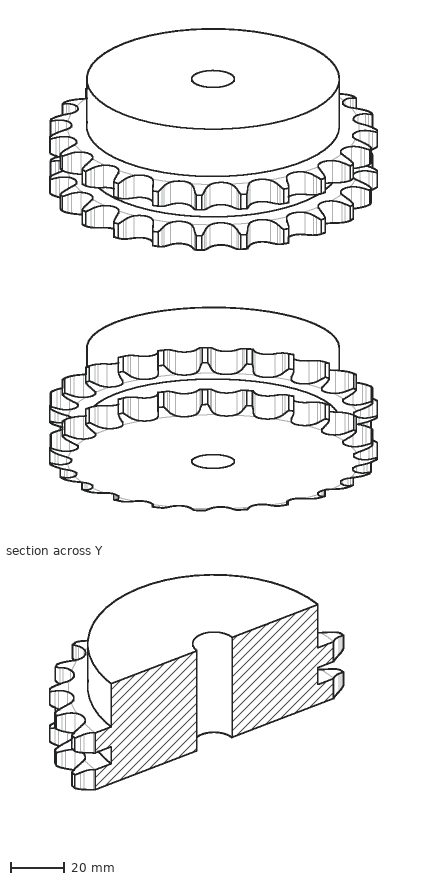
import cadquery as cq
import math


hub_diameter = 95.0
bore_diameter = 16.0
total_height = 45.0

tooth_count = 23
ring_width = 9.1
ring_spacing = 16.5
ring_bottoms = [0.0, ring_spacing]
outer_diameter = 123.5
outer_radius = outer_diameter / 2
side_relief = 1.6

pitch_diameter = 116.5
roller_diameter = 10.1
roller_clearance = 0.04

half_pitch_angle = 180 / tooth_count
pitch_radius = pitch_diameter / 2
chain_pitch = pitch_diameter * math.sin(math.radians(half_pitch_angle))

seat_radius = 0.5025 * roller_diameter + roller_clearance
seat_angle = 35 + 60 / tooth_count
working_angle = 18 - 56 / tooth_count
working_center_distance = 0.8 * roller_diameter
working_radius = working_center_distance + seat_radius
topping_center_distance = 1.4 * roller_diameter


def offset(point, distance, degrees):
    """Point at a distance from another, in a direction measured from +X."""
    angle = math.radians(degrees)
    return (point[0] + distance * math.cos(angle), point[1] + distance * math.sin(angle))


def mirrored(point):
    return (-point[0], point[1])


def flank_points():
    """Points of the left flank of the gap centred on +Y, from the seat to the tip."""
    roller_center = (0.0, pitch_radius)
    seat_end = offset(roller_center, seat_radius, 180 + seat_angle)

    working_center = offset(roller_center, working_center_distance, seat_angle)
    line_normal = seat_angle - working_angle
    working_middle = offset(working_center, working_radius, 180 + seat_angle - working_angle / 2)
    working_end = offset(working_center, working_radius, 180 + line_normal)

    topping_center = offset(roller_center, topping_center_distance, 180 + half_pitch_angle)
    normal = math.radians(line_normal)
    topping_radius = (
        (working_end[0] - topping_center[0]) * math.cos(normal)
        + (working_end[1] - topping_center[1]) * math.sin(normal)
    )
    topping_start = offset(topping_center, topping_radius, line_normal)

    center_distance = math.hypot(*topping_center)
    center_direction = math.degrees(math.atan2(topping_center[1], topping_center[0]))
    cosine = (outer_radius**2 - center_distance**2 - topping_radius**2) / (
        2 * center_distance * topping_radius
    )
    tip_direction = center_direction - math.degrees(math.acos(cosine))
    topping_middle = offset(topping_center, topping_radius, (line_normal + tip_direction) / 2)
    tip = offset(topping_center, topping_radius, tip_direction)
    return seat_end, working_middle, working_end, topping_start, topping_middle, tip


def tooth_gap():
    """Cutter for one gap between two teeth."""
    seat_end, working_middle, working_end, topping_start, topping_middle, tip = flank_points()
    seat_bottom = (0.0, pitch_radius - seat_radius)
    beyond_tips = (0.0, outer_radius + roller_diameter)
    return (
        cq.Workplane("XY")
        .moveTo(*tip)
        .threePointArc(topping_middle, topping_start)
        .lineTo(*working_end)
        .threePointArc(working_middle, seat_end)
        .threePointArc(seat_bottom, mirrored(seat_end))
        .threePointArc(mirrored(working_middle), mirrored(working_end))
        .lineTo(*mirrored(topping_start))
        .threePointArc(mirrored(topping_middle), mirrored(tip))
        .threePointArc(beyond_tips, tip)
        .close()
        .extrude(ring_width)
    )


def ring_blank():
    """Disc whose two sides curve inward towards the tooth tips, tangent to its flat faces."""
    side_radius = chain_pitch
    relief_angle = math.acos(1 - side_relief / side_radius)
    relief_start = outer_radius - side_radius * math.sin(relief_angle)
    middle_radius = relief_start + side_radius * math.sin(relief_angle / 2)
    middle_drop = side_radius * (1 - math.cos(relief_angle / 2))
    return (
        cq.Workplane("XZ")
        .lineTo(relief_start, 0)
        .threePointArc((middle_radius, middle_drop), (outer_radius, side_relief))
        .lineTo(outer_radius, ring_width - side_relief)
        .threePointArc((middle_radius, ring_width - middle_drop), (relief_start, ring_width))
        .lineTo(0, ring_width)
        .close()
        .revolve(360, (0, 0, 0), (0, 1, 0))
    )


def toothed_ring():
    """Ring with a tooth gap centred on +Y."""
    ring = ring_blank()
    gap = tooth_gap()
    for index in range(tooth_count):
        ring = ring.cut(gap.rotate((0, 0, 0), (0, 0, 1), index * 360 / tooth_count))
    return ring


result = cq.Workplane("XY").circle(hub_diameter / 2).extrude(total_height)

ring = toothed_ring()
for bottom in ring_bottoms:
    result = result.union(ring.translate((0, 0, bottom)))

bore = cq.Workplane("XY").circle(bore_diameter / 2).extrude(total_height)
result = result.cut(bore)